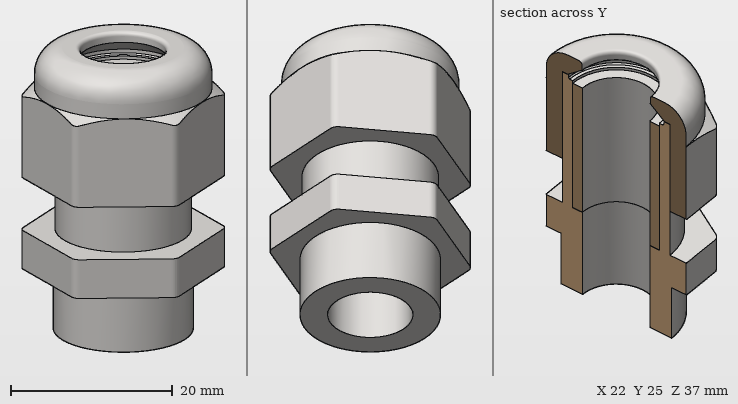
import cadquery as cq
import math


hexagon_sides = 6
corner_turn = 360 / hexagon_sides
first_corner_angle = corner_turn / 2
across_flats = 22.0
corner_radius = 1.2
flange_corner_facets = 5

flange_bottom = 8.03
flange_top = 13.15
cap_bottom = 20.05
cap_chamfer_corner = 30.7
cap_hex_top = 31.67
total_height = 37.0

thread_diameter = 17.4
neck_diameter = 16.9
body_top = 33.95
mouth_diameter = 14.95
mouth_floor = 33.3
mouth_bevel = 0.2

bore_diameter = 10.55
seal_diameter = 13.58
seal_top = 32.9
seal_bottom = flange_top

cap_diameter = 21.98
cap_flat_diameter = 15.1
cap_hole_diameter = 10.62
cap_lip_depth = 1.35
cap_lip_fillet = 0.55

corner_distance = across_flats / math.sqrt(3)
corner_arc_distance = corner_distance - corner_radius * (2 / math.sqrt(3) - 1)


def cylinder(diameter, bottom, top):
    return cq.Workplane("XY").workplane(offset=bottom).circle(diameter / 2).extrude(top - bottom)


def revolve_profile(profile):
    """Revolve a profile of radius (local X) against height (local Y) about the Z axis."""
    return profile.close().revolve(360, (0, 0, 0), (0, 1, 0))


def faceted_hexagon(bottom, top):
    """Hexagonal prism whose rounded corners are broken into small flat facets."""
    arc_centre = corner_arc_distance - corner_radius
    points = []
    for corner in range(hexagon_sides):
        direction = first_corner_angle + corner_turn * corner
        centre_x = arc_centre * math.cos(math.radians(direction))
        centre_y = arc_centre * math.sin(math.radians(direction))
        for step in range(flange_corner_facets + 1):
            angle = math.radians(direction + corner_turn * (step / flange_corner_facets - 0.5))
            x = centre_x + corner_radius * math.cos(angle)
            y = centre_y + corner_radius * math.sin(angle)
            points.append((x, y))
    return cq.Workplane("XY").workplane(offset=bottom).polyline(points).close().extrude(top - bottom)


def filleted_hexagon(bottom, top):
    """Hexagonal prism with filleted corners."""
    prism = cq.Workplane("XY").polygon(hexagon_sides, 2 * corner_distance).extrude(top - bottom)
    prism = prism.edges("|Z").fillet(corner_radius)
    return prism.rotate((0, 0, 0), (0, 0, 1), first_corner_angle).translate((0, 0, bottom))


def make_body():
    thread = cylinder(thread_diameter, 0, flange_bottom)
    flange = faceted_hexagon(flange_bottom, flange_top)
    neck = cylinder(neck_diameter, flange_top, body_top)
    bore = cylinder(bore_diameter, 0, seal_bottom)
    seal_seat = cylinder(seal_diameter, seal_bottom, mouth_floor)
    mouth = cylinder(mouth_diameter, mouth_floor, body_top).faces("<Z").edges().chamfer(mouth_bevel)
    return thread.union(flange).union(neck).cut(bore).cut(seal_seat).cut(mouth)


def make_seal():
    return cylinder(seal_diameter, seal_bottom, seal_top).cut(cylinder(bore_diameter, seal_bottom, seal_top))


def cap_envelope():
    """Turned outside of the cap: conical hexagon chamfer, round collar and domed rim."""
    cap_radius = cap_diameter / 2
    dome_radius = (cap_diameter - cap_flat_diameter) / 2
    dome_start = total_height - dome_radius
    dome_centre_radius = cap_flat_diameter / 2
    dome_middle = (
        dome_centre_radius + dome_radius * math.cos(math.pi / 4),
        dome_start + dome_radius * math.sin(math.pi / 4),
    )
    return revolve_profile(
        cq.Workplane("XZ")
        .moveTo(0, cap_bottom)
        .lineTo(corner_arc_distance, cap_bottom)
        .lineTo(corner_arc_distance, cap_chamfer_corner)
        .lineTo(cap_radius, cap_hex_top)
        .lineTo(cap_radius, dome_start)
        .threePointArc(dome_middle, (dome_centre_radius, total_height))
        .lineTo(0, total_height)
    )


def cap_cavity():
    """Space inside the cap: neck bore, cone over the body mouth and cable hole with a rounded lip."""
    hole_radius = cap_hole_diameter / 2
    lip_radius = hole_radius + cap_lip_fillet
    fillet_bottom = total_height - cap_lip_fillet
    lip_middle = (
        lip_radius - cap_lip_fillet * math.cos(math.pi / 4),
        fillet_bottom + cap_lip_fillet * math.sin(math.pi / 4),
    )
    return revolve_profile(
        cq.Workplane("XZ")
        .moveTo(0, cap_bottom)
        .lineTo(neck_diameter / 2, cap_bottom)
        .lineTo(neck_diameter / 2, body_top)
        .lineTo(mouth_diameter / 2, body_top)
        .lineTo(hole_radius, total_height - cap_lip_depth)
        .lineTo(hole_radius, fillet_bottom)
        .threePointArc(lip_middle, (lip_radius, total_height))
        .lineTo(0, total_height)
    )


def make_cap():
    hexagon = filleted_hexagon(cap_bottom, total_height)
    return hexagon.intersect(cap_envelope()).cut(cap_cavity())


body = make_body()
seal = make_seal()
cap = make_cap()

result = cq.Compound.makeCompound([body.val(), seal.val(), cap.val()])